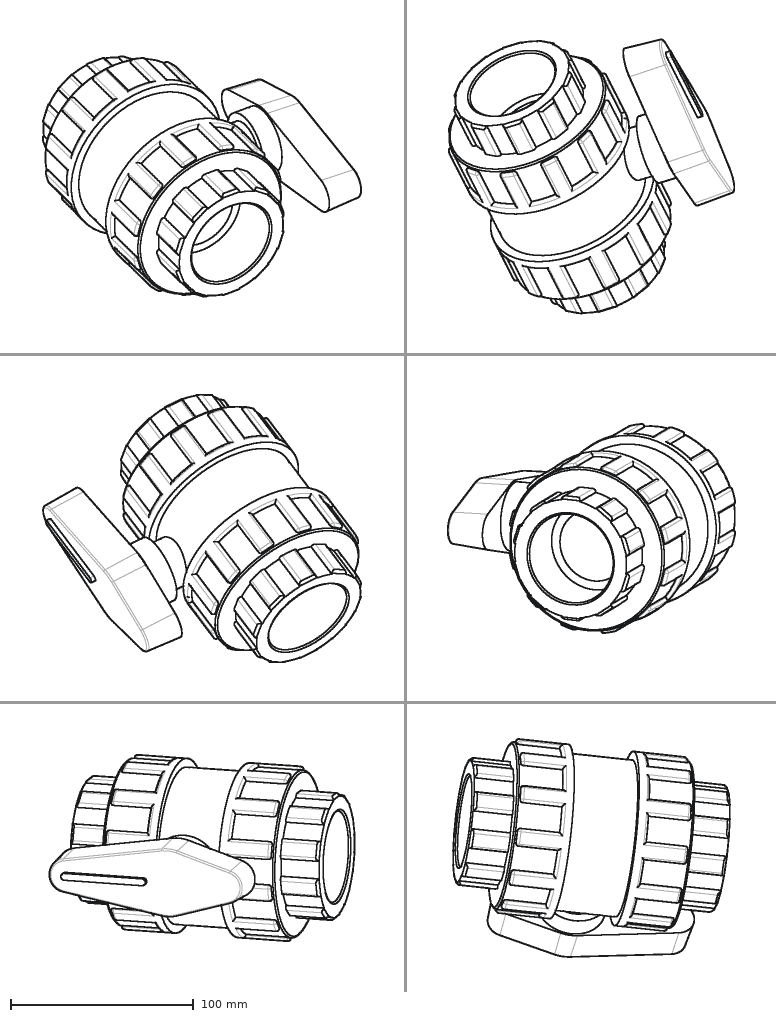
import cadquery as cq
import math


total_length = 142.0
body_dia = 86.3
bore_dia = 40.0
socket_dia = 50.0
socket_depth = 31.2
socket_chamfer = 1.0

nut_rim_dia = 96.0
nut_base_dia = 92.2
nut_inner_x = 18.0
nut_outer_x = 49.3
nut_end_chamfer = 1.0
nut_rim_edge_x = 24.0
nut_rib_end_x = 47.3
nut_rib_count = 12
nut_rib_width = 9.8
nut_rib_round = 1.5

connector_dia = 66.7
connector_rib_top = 35.0
connector_bevel = 1.5
connector_rib_count = 10
connector_rib_width = 11.1
connector_rib_round = 1.8

stem_dia = 28.8
collar_dia = 38.3
collar_start_y = 52.7
handle_start_y = 64.5
handle_top_y = 86.0
handle_draft = 3.2
handle_edge_round = 1.0
hub_radius = 20.3
short_end_x = -33.2
long_end_x = 58.0
end_radius = 10.6

bar_start_x = 11.5
bar_end_x = 59.8
bar_width = 3.8
bar_height = 2.5

TOLERANCE = 0.001
CLEARANCE = 1.4


def revolve_about_x(points):
    """Solid of revolution about X from (x, radius) points."""
    return cq.Workplane("XY").polyline(points).close().revolve(360, (0, 0, 0), (1, 0, 0))


def plane_facing_y(start_x, start_y):
    """Sketch plane whose extrusions run toward +Y."""
    return cq.Workplane(cq.Plane(origin=(start_x, start_y, 0), xDir=(1, 0, 0), normal=(0, 1, 0)))


def cylinder_along_y(diameter, start_y, end_y):
    return plane_facing_y(0, start_y).circle(diameter / 2).extrude(end_y - start_y)


def around_axis(solid, count, first_angle=0.0):
    """Copies of a solid spaced evenly about the X axis."""
    return [
        solid.rotate((0, 0, 0), (1, 0, 0), first_angle + i * 360 / count)
        for i in range(count)
    ]


def union_nut():
    """Ring nut with grip ribs that run out from a full rim and have rounded crests."""
    rim_radius = nut_rim_dia / 2
    base_radius = nut_base_dia / 2
    clear_radius = rim_radius + CLEARANCE
    nut = revolve_about_x([
        (nut_inner_x, 0),
        (nut_inner_x, rim_radius),
        (nut_outer_x, rim_radius),
        (nut_outer_x, 0),
    ])
    grooves = revolve_about_x([
        (nut_rim_edge_x, base_radius),
        (nut_rim_edge_x, clear_radius),
        (nut_outer_x + nut_end_chamfer, clear_radius),
        (nut_outer_x + nut_end_chamfer, base_radius - 2 * nut_end_chamfer),
        (nut_outer_x - nut_end_chamfer, base_radius),
    ])
    rib = (
        cq.Workplane("XY")
        .box(nut_rib_end_x - nut_inner_x, nut_rib_width, 2 * clear_radius, centered=(False, True, False))
        .translate((nut_inner_x, 0, 0))
    )
    for copy in around_axis(rib, nut_rib_count, 180 / nut_rib_count):
        grooves = grooves.cut(copy)
    nut = nut.cut(grooves)

    def is_rounded(edge):
        center = edge.Center()
        ends = (edge.startPoint(), edge.endPoint())
        at_crest = all(abs(math.hypot(p.y, p.z) - rim_radius) < TOLERANCE for p in ends)
        at_free_end = all(abs(p.x - nut_rib_end_x) < TOLERANCE for p in ends)
        upright = edge.geomType() == "LINE" and at_free_end
        return (at_crest and center.x > nut_inner_x + TOLERANCE) or upright

    rounded_edges = [edge for edge in nut.edges().vals() if is_rounded(edge)]
    return nut.newObject(rounded_edges).fillet(nut_rib_round)


def end_connector():
    """Plain pipe end with flat-topped ribs, bevelled at the end face."""
    end_x = total_length / 2
    length = end_x - nut_inner_x
    connector = (
        cq.Workplane("YZ", origin=(nut_inner_x, 0, 0))
        .circle(connector_dia / 2)
        .extrude(length)
    )
    rib = (
        cq.Workplane("XY")
        .box(length, connector_rib_width, connector_rib_top, centered=(False, True, False))
        .translate((nut_inner_x, 0, 0))
        .edges("|X and >Z").fillet(connector_rib_round)
    )
    end_bevel = (
        cq.Workplane("XZ")
        .polyline([
            (end_x - connector_bevel, connector_rib_top),
            (end_x + connector_bevel, connector_rib_top),
            (end_x + connector_bevel, connector_rib_top - 2 * connector_bevel),
        ])
        .close()
        .extrude(connector_rib_width, both=True)
    )
    for copy in around_axis(rib.cut(end_bevel), connector_rib_count):
        connector = connector.union(copy)
    return connector


def socket_bore():
    """Half of the flow passage: through bore, pipe socket and entry chamfer."""
    end_x = total_length / 2
    socket_radius = socket_dia / 2
    return revolve_about_x([
        (0, 0),
        (0, bore_dia / 2),
        (end_x - socket_depth, bore_dia / 2),
        (end_x - socket_depth, socket_radius),
        (end_x - socket_chamfer, socket_radius),
        (end_x, socket_radius + socket_chamfer),
        (end_x, 0),
    ])


def handle():
    """Drafted lever: straight flanks tangent to a hub arc and to a round at each end."""
    short_angle = math.asin((hub_radius - end_radius) / -short_end_x)
    long_angle = math.asin((hub_radius - end_radius) / long_end_x)

    def tangent_point(center_x, radius, lean, side):
        return (center_x + radius * math.sin(lean), side * radius * math.cos(lean))

    return (
        plane_facing_y(0, handle_start_y)
        .moveTo(*tangent_point(short_end_x, end_radius, -short_angle, 1))
        .lineTo(*tangent_point(0, hub_radius, -short_angle, 1))
        .threePointArc((0, hub_radius), tangent_point(0, hub_radius, long_angle, 1))
        .lineTo(*tangent_point(long_end_x, end_radius, long_angle, 1))
        .threePointArc(
            (long_end_x + end_radius, 0), tangent_point(long_end_x, end_radius, long_angle, -1)
        )
        .lineTo(*tangent_point(0, hub_radius, long_angle, -1))
        .threePointArc((0, -hub_radius), tangent_point(0, hub_radius, -short_angle, -1))
        .lineTo(*tangent_point(short_end_x, end_radius, -short_angle, -1))
        .threePointArc(
            (short_end_x - end_radius, 0), tangent_point(short_end_x, end_radius, -short_angle, 1)
        )
        .close()
        .extrude(handle_top_y - handle_start_y, taper=handle_draft)
        .faces(">Y").edges().fillet(handle_edge_round)
    )


def handle_bar():
    """Narrow round-ended bar that starts inside the handle and stands proud of its top."""
    center_x = (bar_start_x + bar_end_x) / 2
    return (
        plane_facing_y(center_x, handle_start_y)
        .slot2D(bar_end_x - bar_start_x, bar_width)
        .extrude(handle_top_y + bar_height - handle_start_y)
    )


valve_end = union_nut().union(end_connector())
bore = socket_bore()

body = revolve_about_x([
    (-nut_inner_x, 0),
    (-nut_inner_x, body_dia / 2),
    (nut_inner_x, body_dia / 2),
    (nut_inner_x, 0),
])
stem = cylinder_along_y(stem_dia, bore_dia / 2, handle_start_y)
collar = cylinder_along_y(collar_dia, collar_start_y, handle_start_y)

result = (
    body
    .union(valve_end)
    .union(valve_end.mirror("YZ"))
    .union(stem)
    .union(collar)
    .union(handle())
    .union(handle_bar())
    .cut(bore)
    .cut(bore.mirror("YZ"))
)